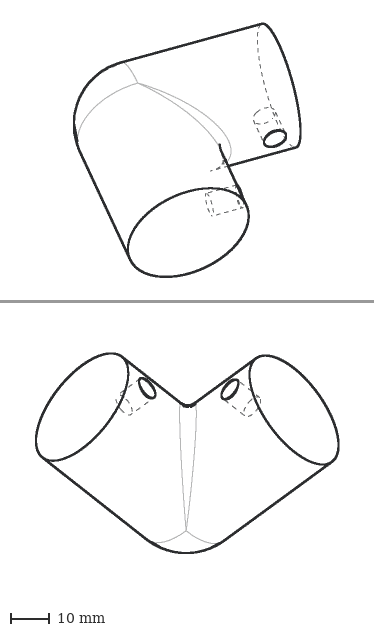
import cadquery as cq

overall_length = 55.0
outer_diameter = 33.0
inner_corner_fillet = 3.0
crease_clearance = 0.55
screw_diameter = 6.05
screw_length = 8.25
screw_distance = 31.5

outer_radius = outer_diameter / 2
arm_length = overall_length - outer_radius


def make_arm(direction):
    """Round arm running from the corner of the elbow, at the origin, along direction."""
    return cq.Workplane(cq.Solid.makeCylinder(outer_radius, arm_length, cq.Vector(), direction))


def make_elbow():
    """Two arms at a right angle, a ball-shaped corner and a rounded inner crease."""
    arms = make_arm(cq.Vector(1, 0, 0)).union(make_arm(cq.Vector(0, 1, 0)))
    elbow = arms.union(cq.Workplane().sphere(outer_radius))
    crease_reach = outer_radius + crease_clearance
    inner_crease = cq.selectors.BoxSelector(
        (crease_clearance, crease_clearance, -crease_reach), (crease_reach, crease_reach, crease_reach)
    )
    return elbow.edges(inner_crease).fillet(inner_corner_fillet)


def make_screw(position, direction):
    """Headless screw whose flat outer end is level with the crest of the arm."""
    return cq.Workplane(
        cq.Solid.makeCylinder(screw_diameter / 2, screw_length, position, direction)
    )


screw_placements = [
    (cq.Vector(screw_distance, outer_radius, 0), cq.Vector(0, -1, 0)),
    (cq.Vector(outer_radius, screw_distance, 0), cq.Vector(-1, 0, 0)),
]
screws = [make_screw(position, direction) for position, direction in screw_placements]

elbow = make_elbow()
for screw in screws:
    elbow = elbow.cut(screw)

result = cq.Compound.makeCompound([elbow.val(), *[screw.val() for screw in screws]])